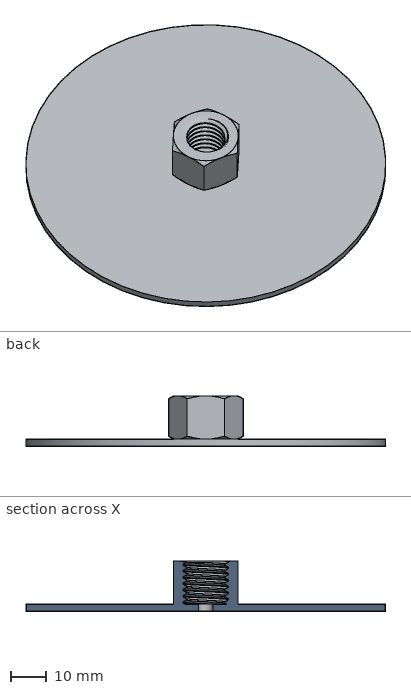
import cadquery as cq
import math

PLATE_DIAMETER = 100.0
PLATE_THICKNESS = 2.0
PLATE_HOLE_DIAMETER = 4.0

NUT_HEIGHT = 12.0
NUT_ACROSS_FLATS = 18.0
NUT_ACROSS_CORNERS = NUT_ACROSS_FLATS / math.cos(math.radians(30))
NUT_CHAMFER_ANGLE = 30.0

THREAD_MAJOR_DIAMETER = 12.6
THREAD_MINOR_DIAMETER = 10.6
THREAD_PITCH = 7.0 / 4
THREAD_FLANK_ANGLE = 30.0
THREAD_CREST_WIDTH = 0.4
THREAD_START_ANGLE = 180.0
GROOVE_OVERLAP = 0.1
COUNTERSINK_DIAMETER = 13.8
COUNTERSINK_FLANK_ANGLE = 75.0


def make_plate():
    return (
        cq.Workplane("XY")
        .circle(PLATE_DIAMETER / 2)
        .circle(PLATE_HOLE_DIAMETER / 2)
        .extrude(PLATE_THICKNESS)
    )


def make_chamfered_hexagon():
    """Hexagonal prism whose corners are turned down by a cone at both ends."""
    hexagon = cq.Workplane("XY").polygon(6, NUT_ACROSS_CORNERS).extrude(NUT_HEIGHT)
    face_radius = NUT_ACROSS_FLATS / 2
    corner_radius = NUT_ACROSS_CORNERS / 2
    corner_drop = (corner_radius - face_radius) * math.tan(math.radians(NUT_CHAMFER_ANGLE))
    envelope_radius = face_radius + 2 * (corner_radius - face_radius)
    envelope_drop = 2 * corner_drop
    envelope = (
        cq.Workplane("XZ")
        .polyline(
            [
                (0, 0),
                (face_radius, 0),
                (envelope_radius, envelope_drop),
                (envelope_radius, NUT_HEIGHT - envelope_drop),
                (face_radius, NUT_HEIGHT),
                (0, NUT_HEIGHT),
            ]
        )
        .close()
        .revolve(360, (0, 0), (0, 1))
    )
    return hexagon.intersect(envelope)


def make_bore():
    """Plain bore at the thread's minor diameter, with a conical mouth at the top."""
    bore_radius = THREAD_MINOR_DIAMETER / 2
    mouth_radius = COUNTERSINK_DIAMETER / 2
    mouth_depth = (mouth_radius - bore_radius) / math.tan(math.radians(COUNTERSINK_FLANK_ANGLE))
    return (
        cq.Workplane("XZ")
        .polyline(
            [
                (0, 0),
                (bore_radius, 0),
                (bore_radius, NUT_HEIGHT - mouth_depth),
                (mouth_radius, NUT_HEIGHT),
                (0, NUT_HEIGHT),
            ]
        )
        .close()
        .revolve(360, (0, 0), (0, 1))
    )


def make_groove_turn():
    """One right-handed turn of the trapezoidal thread groove."""
    inner_radius = THREAD_MINOR_DIAMETER / 2 - GROOVE_OVERLAP
    outer_radius = THREAD_MAJOR_DIAMETER / 2
    flank_slope = math.tan(math.radians(THREAD_FLANK_ANGLE))
    mouth_half_width = (THREAD_PITCH - THREAD_CREST_WIDTH) / 2 + GROOVE_OVERLAP * flank_slope
    root_half_width = mouth_half_width - (outer_radius - inner_radius) * flank_slope
    helix = cq.Wire.makeHelix(THREAD_PITCH, THREAD_PITCH, inner_radius)
    return (
        cq.Workplane("XZ")
        .polyline(
            [
                (inner_radius, -mouth_half_width),
                (outer_radius, -root_half_width),
                (outer_radius, root_half_width),
                (inner_radius, mouth_half_width),
            ]
        )
        .close()
        .sweep(cq.Workplane(obj=helix), isFrenet=True)
        .rotate((0, 0, 0), (0, 0, 1), THREAD_START_ANGLE)
    )


def make_nut():
    nut = make_chamfered_hexagon().cut(make_bore())
    groove_turn = make_groove_turn()
    turn_count = math.ceil(NUT_HEIGHT / THREAD_PITCH) + 1
    for turn in range(turn_count):
        nut = nut.cut(groove_turn.translate((0, 0, (turn - 1) * THREAD_PITCH)))
    return nut


result = make_plate().union(make_nut().translate((0, 0, PLATE_THICKNESS)))